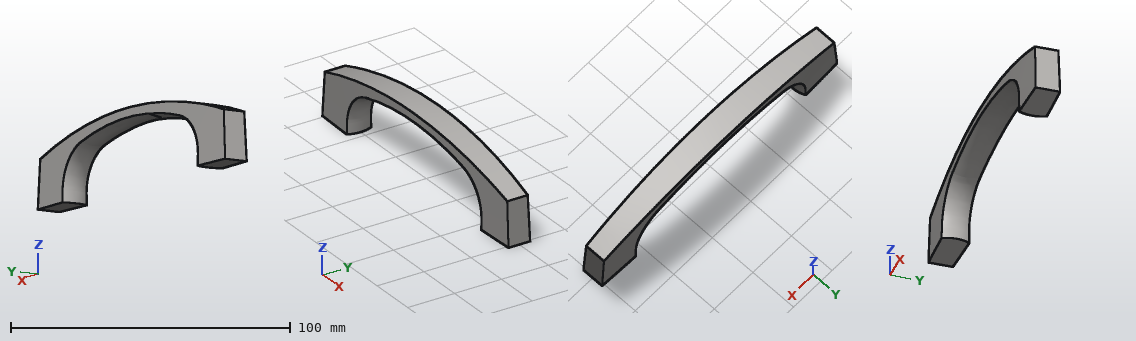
import cadquery as cq
import math

length = 122.0
height = 27.9
width = 11.0
end_lean = 1.2
end_height = 18.2

foot_end_width = 9.3
side_draft = 0.9

opening_half_span = 44.2
opening_height = 24.4
opening_roof_radius = 125.7
opening_corner_radius = 16.5
crown_height = 1.3

half_length = length / 2
side_shift = opening_height * math.tan(math.radians(side_draft))
base_mid_half_width = width / 2 + side_shift

roof_center_z = opening_height - opening_roof_radius
corner_center_x = opening_half_span - opening_corner_radius
center_distance = opening_roof_radius - opening_corner_radius
corner_angle = math.acos(corner_center_x / center_distance)
corner_center_z = roof_center_z + center_distance * math.sin(corner_angle)


def corner_point(angle, side):
    """Point on the opening's corner arc; side is -1 or 1 along X."""
    x = corner_center_x + opening_corner_radius * math.cos(angle)
    z = corner_center_z + opening_corner_radius * math.sin(angle)
    return side * x, z


def opening_path():
    """Open arch from the left foot to the right foot in the XZ plane."""
    return (
        cq.Workplane("XZ")
        .moveTo(-opening_half_span, 0)
        .lineTo(-opening_half_span, corner_center_z)
        .threePointArc(corner_point(corner_angle / 2, -1), corner_point(corner_angle, -1))
        .threePointArc((0, opening_height), corner_point(corner_angle, 1))
        .threePointArc(corner_point(corner_angle / 2, 1), (opening_half_span, corner_center_z))
        .lineTo(opening_half_span, 0)
    )


def make_blank():
    """Solid arch outline without the opening."""
    corner_x = half_length - end_lean
    return (
        cq.Workplane("XZ")
        .moveTo(-half_length, 0)
        .lineTo(-corner_x, end_height)
        .threePointArc((0, height), (corner_x, end_height))
        .lineTo(half_length, 0)
        .close()
        .extrude(width, both=True)
    )


def make_side_envelope():
    """Bowed plan shape, narrowing upward, that trims the side faces."""
    end_margin = 3.7
    bow_depth = base_mid_half_width - foot_end_width / 2
    bow_radius = (half_length**2 + bow_depth**2) / (2 * bow_depth)
    end_x = half_length + end_margin
    end_y = base_mid_half_width - bow_radius + math.sqrt(bow_radius**2 - end_x**2)
    return (
        cq.Workplane("XY")
        .moveTo(-end_x, -end_y)
        .threePointArc((0, -base_mid_half_width), (end_x, -end_y))
        .lineTo(end_x, end_y)
        .threePointArc((0, base_mid_half_width), (-end_x, end_y))
        .close()
        .extrude(height, taper=side_draft)
    )


def make_crown():
    """Circular-segment section swept along the opening."""
    return (
        cq.Workplane("XY")
        .moveTo(-opening_half_span, -width / 2)
        .threePointArc((-opening_half_span + crown_height, 0), (-opening_half_span, width / 2))
        .close()
        .sweep(opening_path())
    )


opening = opening_path().close().extrude(width, both=True)
arch = make_blank().cut(opening).union(make_crown())
result = arch.intersect(make_side_envelope())